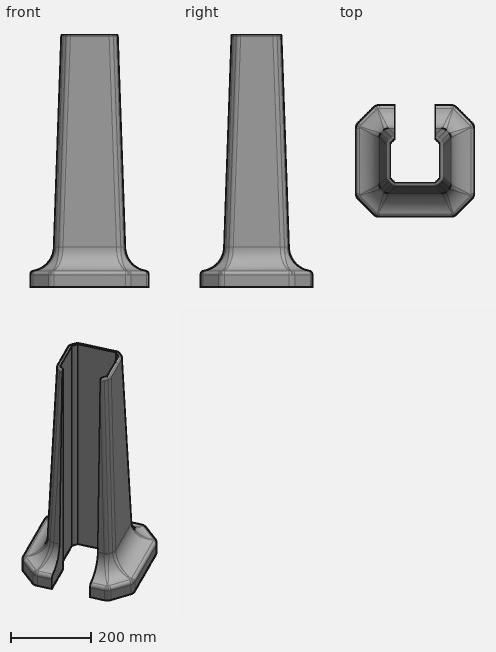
import cadquery as cq
import math

height = 630.0
base_width_x = 296.0
base_width_y = 280.0
top_width_x = 142.0
neck_width_x = 179.0

y_step = (base_width_x - base_width_y) / 2
post_chamfer = 16.5

base_height = 40.5
flare_radius = 60.0
flare_spread = (base_width_x - neck_width_x) / 2
neck_height = base_height + flare_radius

shaft_width_x = 123.5
shaft_width_y = 109.0
shaft_chamfer = 11.5
slot_width = shaft_width_x - 2 * shaft_chamfer

base_corner_radius = 20.0
post_corner_radius = 15.0
rim_radius = 10.0
top_radius = 4.0

level_tolerance = 3.0


def flare_point(neck, angle):
    """Point on the flare arc, `angle` radians down from the neck."""
    x = neck + flare_radius * (1 - math.cos(angle))
    z = neck_height - flare_radius * math.sin(angle)
    return x, z


def flared_slab(top, neck, direction):
    """Full-height slab between two opposite walls that face `direction` (degrees from X).

    `top` and `neck` are the distances of the walls from the axis at those levels.
    """
    end_angle = math.acos(1 - flare_spread / flare_radius)
    base, rim_height = flare_point(neck, end_angle)
    middle, middle_height = flare_point(neck, end_angle / 2)
    profile = (
        cq.Workplane("XZ")
        .moveTo(-base, 0)
        .lineTo(base, 0)
        .lineTo(base, rim_height)
        .threePointArc((middle, middle_height), (neck, neck_height))
        .lineTo(top, height)
        .lineTo(-top, height)
        .lineTo(-neck, neck_height)
        .threePointArc((-middle, middle_height), (-base, rim_height))
        .close()
    )
    slab = profile.extrude(base_width_x, both=True)
    return slab.rotate((0, 0, 0), (0, 0, 1), direction)


def corner_distance(half_x):
    """Distance from the axis to the corner walls where the X walls are at `half_x`."""
    return (2 * half_x - y_step - post_chamfer) / math.sqrt(2)


def octagonal_post():
    """Solid post: the common part of four slabs, one for each pair of opposite walls."""
    top = top_width_x / 2
    neck = neck_width_x / 2
    post = flared_slab(top, neck, 0)
    post = post.intersect(flared_slab(top - y_step, neck - y_step, 90))
    for direction in (45, 135):
        post = post.intersect(flared_slab(corner_distance(top), corner_distance(neck), direction))
    return post


def is_post_corner(edge):
    """True for the corner edges that climb the flare or the post above it."""
    box = edge.BoundingBox()
    return box.zmin > base_height - level_tolerance and box.zlen > level_tolerance


def is_rim(edge):
    """True for the level edges where the flare meets the sides of the base plate."""
    box = edge.BoundingBox()
    return abs(box.zmax - base_height) < level_tolerance and box.zlen < level_tolerance


def round_edges(post):
    post = post.edges("|Z").fillet(base_corner_radius)
    post = post.edges().filter(is_post_corner).fillet(post_corner_radius)
    post = post.faces(">Z").edges().fillet(top_radius)
    return post.edges().filter(is_rim).fillet(rim_radius)


def shaft():
    block = cq.Workplane().rect(shaft_width_x, shaft_width_y).extrude(height)
    return block.edges("|Z").chamfer(shaft_chamfer)


def slot():
    """Full-height slot from the middle of the shaft out through the +Y side."""
    return cq.Workplane().box(slot_width, base_width_y, height, centered=(True, False, False))


result = round_edges(octagonal_post()).cut(shaft()).cut(slot())